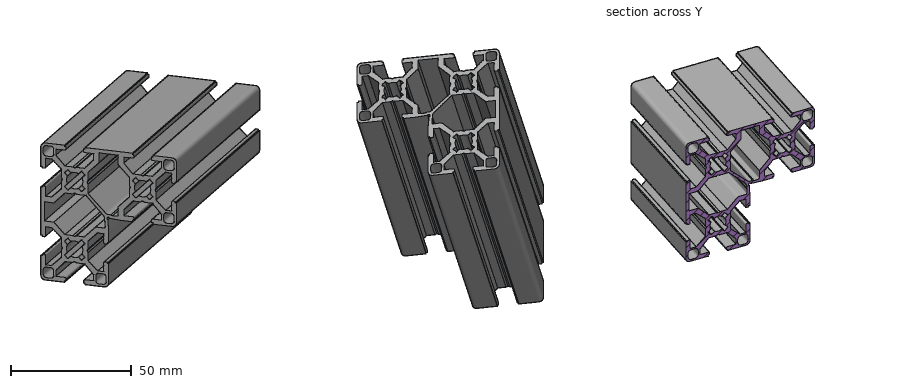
import cadquery as cq

length = 100.0
cell = 30.0
half_cell = cell / 2
corner_radius = 2.0

slot_half_opening = 3.9
slot_half_width = 8.3
slot_shoulder = 10.2
lip_thickness = 2.2
lip_step = 0.6
lip_inner_radius = 0.6
lip_outer_radius = 0.4

core_half = 5.9
arm_half_offset = 1.6
groove_half_width = 0.8
groove_depth = 0.4
core_bore_radius = 3.6
core_cross_width = 2.1
core_cross_half_length = 5.3

channel_width = 4.6
channel_corner_radius = 1.4
channel_inset = 3.4

cavity_half_width = 4.2
cavity_wall = 1.6
brace_half_offset = 0.9
brace_end_half_offset = 1.1
brace_end_depth = 13.1
brace_radius = 1.5
cavity_corner_radius = 0.7
lower_shoulder_radius = 2.0
ledge_start = 16.0
ledge_end = 16.7

inside_corner = 14.6
relief_centre = 14.8
relief_radius = 0.5
taper_end = 20.5

elbow = (0.0, 0.0)
right_cell = (cell, 0.0)
lower_cell = (0.0, -cell)
cells = [elbow, right_cell, lower_cell]

UP, LEFT, DOWN, RIGHT = 0, 90, 180, 270
slots = [
    (elbow, UP),
    (elbow, LEFT),
    (right_cell, UP),
    (right_cell, RIGHT),
    (right_cell, DOWN),
    (lower_cell, LEFT),
    (lower_cell, DOWN),
    (lower_cell, RIGHT),
]
free_corners = [
    (elbow, -1, 1),
    (right_cell, 1, 1),
    (right_cell, 1, -1),
    (lower_cell, 1, -1),
    (lower_cell, -1, -1),
]


def prism(points):
    """Full-length prism from (x, z) points."""
    return cq.Workplane("XZ").polyline(points).close().extrude(length / 2, both=True)


def cylinder(radius):
    """Full-length cylinder on the Y axis."""
    return cq.Workplane("XZ").circle(radius).extrude(length / 2, both=True)


def round_edge(body, x, z, radius):
    """Fillet the lengthwise edge of body that runs through (x, z)."""
    return body.edges(cq.NearestToPointSelector((x, 0, z))).fillet(radius)


def place(body, centre, angle=0):
    """Turn a body made facing +Z at the origin and move it to a cell."""
    turned = body.rotate((0, 0, 0), (0, 1, 0), -angle)
    return turned.translate((centre[0], 0, centre[1]))


def mirrored(points):
    """Right half of an outline followed by its mirror image about x = 0."""
    return points + [(-x, z) for x, z in reversed(points)]


def outer_body():
    far = cell + half_cell
    body = prism([
        (-half_cell, half_cell),
        (far, half_cell),
        (far, -half_cell),
        (taper_end, -half_cell),
        (inside_corner, -inside_corner),
        (half_cell, -taper_end),
        (half_cell, -far),
        (-half_cell, -far),
    ])
    for (x, z), side_x, side_z in free_corners:
        body = round_edge(body, x + side_x * half_cell, z + side_z * half_cell, corner_radius)
    return body


def slot_cutter():
    """T-slot opening upward, with stepped and rounded lips."""
    lip_inner = half_cell - lip_thickness
    step_half = slot_half_opening + lip_step
    cutter = prism(mirrored([
        (step_half, half_cell),
        (step_half, half_cell - lip_step),
        (slot_half_opening, half_cell - lip_step),
        (slot_half_opening, lip_inner),
        (slot_half_width, lip_inner),
        (slot_half_width, slot_shoulder),
        (core_half - arm_half_offset, core_half),
    ]))
    for side in (-1, 1):
        tip = side * slot_half_opening
        cutter = round_edge(cutter, tip, lip_inner, lip_inner_radius)
        cutter = round_edge(cutter, tip, half_cell - lip_step, lip_outer_radius)
    return cutter


def core_cutter():
    """Round bore crossed by two diagonal slots, with a V groove outside each core face."""
    cutter = cylinder(core_bore_radius)
    bar = cq.Workplane("XY").box(2 * core_cross_half_length, length, core_cross_width)
    for angle in (45, 135):
        cutter = cutter.union(place(bar, elbow, angle))
    groove = prism([
        (-groove_half_width, core_half),
        (groove_half_width, core_half),
        (0, core_half - groove_depth),
    ])
    for angle in (UP, LEFT, DOWN, RIGHT):
        cutter = cutter.union(place(groove, elbow, angle))
    return cutter


def cavity_cutter():
    """Cavity between the elbow and right cells; the diagonal brace bounds its lower left."""
    left = half_cell - cavity_half_width
    right = half_cell + cavity_half_width
    edge = half_cell - cavity_wall
    core_corner = core_half - arm_half_offset
    brace_start = (core_half, brace_half_offset - core_half)
    brace_end = (brace_end_depth + brace_end_half_offset, -brace_end_depth)
    cutter = prism([
        (left, edge),
        (right, edge),
        (right, cell - right - arm_half_offset),
        (cell - core_half, core_corner),
        (cell - core_half, -core_corner),
        (right, right + arm_half_offset - cell),
        (right, -edge),
        (ledge_end, -edge),
        (ledge_start, -brace_end_depth),
        brace_end,
        brace_start,
        (core_half, core_corner),
        (left, left - arm_half_offset),
    ])
    cutter = round_edge(cutter, *brace_end, brace_radius)
    return round_edge(cutter, right, -edge, cavity_corner_radius)


result = outer_body()

result = result.cut(place(cylinder(relief_radius), (relief_centre, -relief_centre)))

slot = slot_cutter()
for centre, angle in slots:
    result = result.cut(place(slot, centre, angle))

core = core_cutter()
for centre in cells:
    result = result.cut(place(core, centre))

channel = cq.Workplane("XY").box(channel_width, length, channel_width)
channel = channel.edges("|Y").fillet(channel_corner_radius)
channel_offset = half_cell - channel_inset
for (x, z), side_x, side_z in free_corners:
    channel_centre = (x + side_x * channel_offset, z + side_z * channel_offset)
    result = result.cut(place(channel, channel_centre))

cavity = cavity_cutter()
result = result.cut(cavity)

lower_cavity = cavity.rotate((0, 0, 0), (1, 0, -1), 180)
web = half_cell + cavity_half_width
lower_cavity = round_edge(lower_cavity, cell - web - arm_half_offset, -web, lower_shoulder_radius)
result = result.cut(lower_cavity)